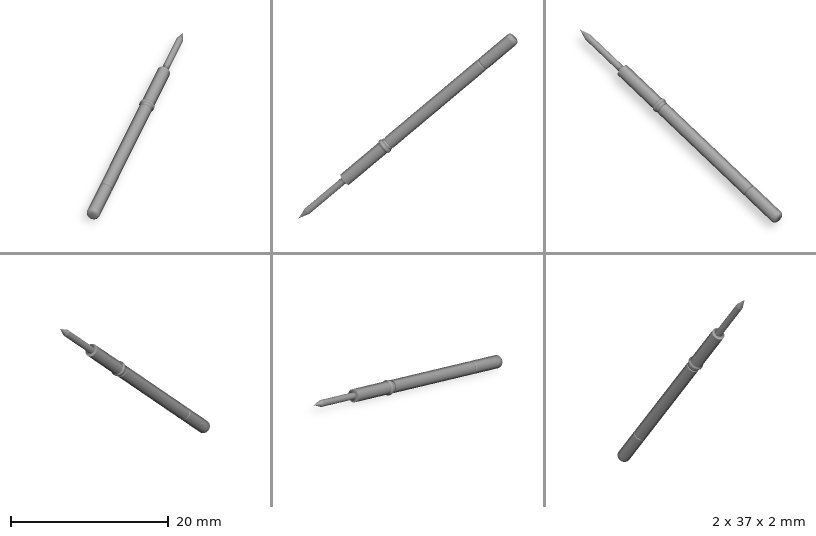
import cadquery as cq
import math

total_length = 37.0
sleeve_radius = 0.85
collar_radius = 1.0
plunger_radius = 0.45

tip_length = 1.48
sleeve_start = 7.9
collar_start = 14.5
collar_width = 0.55
shoulder_position = 15.55
crimp_position = 31.52

shoulder_roll_width = 0.22
shoulder_floor_width = 0.1
shoulder_depth = 0.15
crimp_roll_width = 0.22
crimp_depth = 0.1

end_rounding = 0.48


def cylinder(radius, start, end):
    """Round bar on the Y axis between two distances behind the tip."""
    plane = cq.Workplane("XZ", origin=(0, total_length / 2 - start, 0))
    return plane.circle(radius).extrude(end - start)


def spin(outline):
    """Full turn of a closed XY outline about the Y axis."""
    return outline.revolve(360, (0, 0, 0), (0, 1, 0))


def make_tip():
    """Sharp cone that widens to the full plunger radius."""
    tip_y = total_length / 2
    outline = cq.Workplane("XY").moveTo(0, tip_y)
    outline = outline.lineTo(plunger_radius, tip_y - tip_length).lineTo(0, tip_y - tip_length).close()
    return spin(outline)


def make_collar():
    """Retaining collar: a bead whose arc rises from the sleeve surface."""
    front_y = total_length / 2 - collar_start
    rear_y = front_y - collar_width
    outline = cq.Workplane("XY").moveTo(0, front_y).lineTo(sleeve_radius, front_y)
    outline = outline.threePointArc((collar_radius, (front_y + rear_y) / 2), (sleeve_radius, rear_y))
    return spin(outline.lineTo(0, rear_y).close())


def roll_midpoint(width, depth):
    """Depth and distance from the valley halfway along an arc tangent to the sleeve."""
    roll_radius = (width**2 + depth**2) / (2 * depth)
    half_sweep = math.asin(width / roll_radius) / 2
    return roll_radius * (1 - math.cos(half_sweep)), width - roll_radius * math.sin(half_sweep)


def make_shoulder_groove():
    """Ring behind the collar: a rolled edge, a narrow floor and a square shoulder."""
    shoulder_y = total_length / 2 - shoulder_position
    floor_radius = sleeve_radius - shoulder_depth
    floor_front_y = shoulder_y + shoulder_floor_width
    mid_depth, mid_offset = roll_midpoint(shoulder_roll_width, shoulder_depth)
    outline = cq.Workplane("XY").moveTo(sleeve_radius, floor_front_y + shoulder_roll_width)
    outline = outline.threePointArc(
        (sleeve_radius - mid_depth, floor_front_y + mid_offset),
        (floor_radius, floor_front_y),
    )
    outline = outline.lineTo(floor_radius, shoulder_y).lineTo(sleeve_radius, shoulder_y).close()
    return spin(outline)


def make_crimp_groove():
    """Ring near the rear: two rolled edges meeting in a sharp valley."""
    valley_y = total_length / 2 - crimp_position
    mid_depth, mid_offset = roll_midpoint(crimp_roll_width, crimp_depth)
    mid_radius = sleeve_radius - mid_depth
    valley = (sleeve_radius - crimp_depth, valley_y)
    outline = cq.Workplane("XY").moveTo(sleeve_radius, valley_y + crimp_roll_width)
    outline = outline.threePointArc((mid_radius, valley_y + mid_offset), valley)
    outline = outline.threePointArc(
        (mid_radius, valley_y - mid_offset),
        (sleeve_radius, valley_y - crimp_roll_width),
    )
    return spin(outline.close())


sleeve = cylinder(sleeve_radius, sleeve_start, total_length)
sleeve = sleeve.faces("<Y").edges().fillet(end_rounding)
sleeve = sleeve.cut(make_shoulder_groove()).cut(make_crimp_groove())

plunger = cylinder(plunger_radius, tip_length, sleeve_start)
result = sleeve.union(make_collar()).union(plunger).union(make_tip())